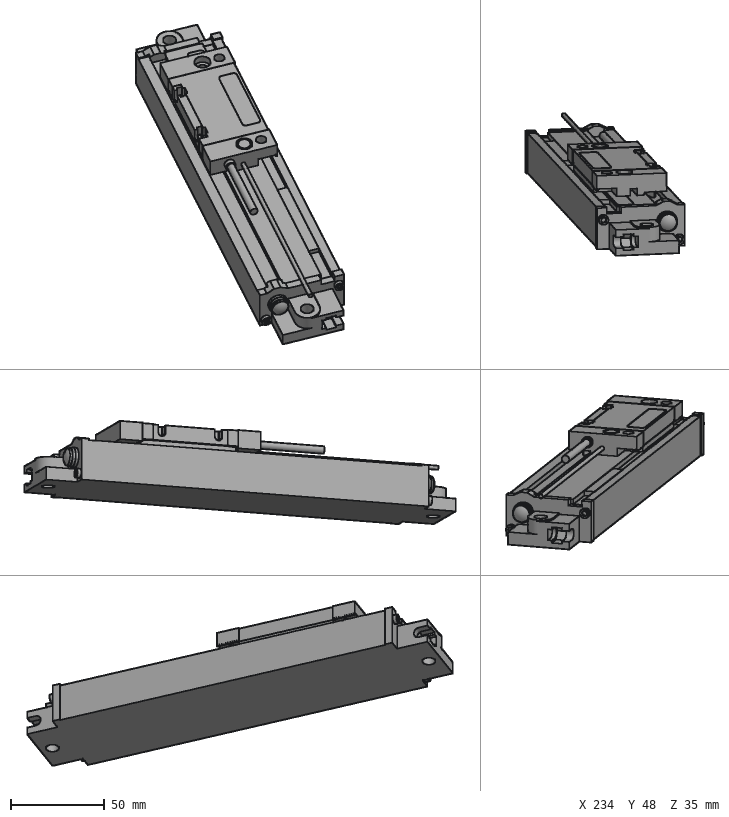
import cadquery as cq

HEXAGON_CORNER_RATIO = 2 / 3 ** 0.5

TOTAL_LENGTH = 234.0
TOTAL_WIDTH = 48.0
FRONT_Y = -TOTAL_WIDTH / 2
REAR_Y = TOTAL_WIDTH / 2

BODY_TOP = 22.0
BODY_REAR_SETBACK = 0.7
CHANNEL_FLOOR = 19.2
REAR_CHANNEL_Y = (12.5, 18.3)
SLOT_Y = (-18.0, -9.4)

CAP_OUTER_X = 99.2
CAP_THICKNESS = 4.2
CAP_INNER_X = CAP_OUTER_X - CAP_THICKNESS
CAP_TOP = 22.7
CAP_NOTCH_Y = (11.0, 18.7)
CAP_NOTCH_FLOOR = 19.5

BOSS_Y = -14.0
BOSS_TOP = 24.8
BOSS_TOP_WIDTH = 3.7
BOSS_FOOT_WIDTH = 12.2
TAB_LENGTH = 6.5

INSERT_X = (24.8, 74.9)
INSERT_TOP = 21.8
COVER_LABEL_X = -90.3
COVER_LABEL_Y = (1.9, 11.0)

FOOT_HALF_WIDTH = 17.3
FOOT_BASE_TOP = 7.0
FOOT_STEP_TOP = 14.3
LUG_TOP = 15.0
LUG_RADIUS = 7.0
LUG_Y = -1.0
LUG_X = TOTAL_LENGTH / 2 - LUG_RADIUS
LUG_HOLE_DIAMETER = 7.0
FOOT_SLOT_Z = 7.3
FOOT_SLOT_HEIGHT = 6.0
FOOT_SLOT_DEPTH = 8.0
FOOT_SLOT_INNER_Y = 5.1
NUT_Y = (7.5, 13.0)
NUT_HEIGHT = 8.7

PLUG_Y = BOSS_Y
PLUG_Z = 14.0
PLUG_STEPS = [(5.4, 1.6), (5.1, 3.3), (4.7, 4.7)]
PLUG_DOME_HEIGHT = 1.9
CAP_SCREW_PLACES = [(20.8, 16.4), (-20.8, 4.0)]
CAP_SCREW_RADIUS = 2.5
CAP_SCREW_HEIGHT = 2.0
SOCKET_RADIUS = 1.5
SOCKET_DEPTH = 1.2

CARRIAGE_X = -35.0
CARRIAGE_LENGTH = 80.5
CARRIAGE_LEFT = CARRIAGE_X - CARRIAGE_LENGTH / 2
CARRIAGE_RIGHT = CARRIAGE_X + CARRIAGE_LENGTH / 2
CARRIAGE_FRONT = -18.7
CARRIAGE_REAR = 19.5
CARRIAGE_TOP = 35.0
CARRIAGE_BOTTOM = 23.5
FRONT_BOTTOM = 25.0
FRONT_STEP_Y = -6.8
REAR_BOTTOM = 26.7
REAR_STEP_Y = 18.7
STEP_SLOPE = 0.7
END_BLOCK_LENGTH = 12.9
MIDDLE_LENGTH = CARRIAGE_LENGTH - 2 * END_BLOCK_LENGTH
MIDDLE_REAR_SETBACK = 0.5
MIDDLE_DROP = 0.2
MIDDLE_TOP = CARRIAGE_TOP - MIDDLE_DROP
MIDDLE_FRONT_BOTTOM = 26.2

UNDERCUT_Y = (8.7, REAR_STEP_Y)
UNDERCUT_TOP = 27.8
KEYWAY_Y = (-2.5, 1.2)
KEYWAY_TOP = 27.1

END_HOLE_OFFSET = 33.5
PIN_HOLE_Y = 12.6
PIN_HOLE_DIAMETER = 5.5
BOLT_HOLE_Y = 3.0
BOLT_HOLE_DIAMETER = 4.7
COUNTERBORE_DIAMETER = 8.7
COUNTERBORE_DEPTH = 4.2
PLUG_RING_INNER_DIAMETER = 6.8
PLUG_RING_DEPTH = 1.0

LABEL_LENGTH = 40.5
LABEL_Y = (7.3, 17.3)
LABEL_RADIUS = 1.9
LABEL_DEPTH = 0.2

LEDGE_LENGTH = 42.5
LEDGE_REAR_Y = -13.5
LEDGE_DROP = 0.2
LEDGE_SETBACK = 0.35
SCREW_SLOT_OFFSET = 16.1
SCREW_SLOT_Z = 30.7
SCREW_SLOT_RADIUS = 2.0
SCREW_SLOT_REAR_Y = -12.5
HEAD_POCKET_Y = (-16.5, -13.8)
HEAD_POCKET_WIDTH = 7.0

KEEL_LENGTH = 58.0
KEEL_STRAIGHT_LENGTH = 40.2
KEEL_Y = -14.0
KEEL_WIDTH = 4.7
KEEL_TOP = 26.7

SLEEVE_Y = -8.0
SLEEVE_Z = 30.2
SLEEVE_RADIUS = 2.0
SLEEVE_END_X = 44.7
GLAND_RADIUS = 2.8
GLAND_LENGTH = 2.5
CABLE_Y = 0.0
CABLE_Z = 27.1
CABLE_RADIUS = 1.2
CABLE_END_X = 113.0


def block(x_range, y_range, z_range):
    """Box between two X, two Y and two Z positions."""
    size = [high - low for low, high in (x_range, y_range, z_range)]
    corner = (x_range[0], y_range[0], z_range[0])
    return cq.Workplane("XY").box(*size, centered=False).translate(corner)


def rod_x(x_start, length, y, z, radius):
    """Cylinder along +X."""
    return cq.Workplane("YZ", origin=(x_start, y, z)).circle(radius).extrude(length)


def rod_z(x, y, z_range, diameter):
    """Cylinder along +Z."""
    plane = cq.Workplane("XY", origin=(x, y, z_range[0]))
    return plane.circle(diameter / 2).extrude(z_range[1] - z_range[0])


def label_recess(x_start, y_range, surface_z):
    """Shallow rounded rectangle sunk into a top surface."""
    recess = block((x_start, x_start + LABEL_LENGTH), y_range, (surface_z - LABEL_DEPTH, surface_z))
    return recess.edges("|Z").fillet(LABEL_RADIUS)


def mirrored_pair(shape):
    """The shape together with its mirror image across X = 0."""
    return shape.union(shape.mirror("YZ"))


def make_profile():
    """Long extrusion with the rear channel, its raised stretches, the front slot and a label recess."""
    span = (-CAP_INNER_X, CAP_INNER_X)
    profile = block(span, (FRONT_Y, REAR_Y - BODY_REAR_SETBACK), (0, BODY_TOP))
    for y_range in (REAR_CHANNEL_Y, SLOT_Y):
        profile = profile.cut(block(span, y_range, (CHANNEL_FLOOR, BODY_TOP)))
    profile = profile.union(mirrored_pair(block(INSERT_X, REAR_CHANNEL_Y, (CHANNEL_FLOOR, INSERT_TOP))))
    return profile.cut(label_recess(COVER_LABEL_X, COVER_LABEL_Y, BODY_TOP))


def make_end_cap():
    """Right end plate: notched at the rear, with a raised boss and a tab closing the slot."""
    outline = [
        (FRONT_Y, 0),
        (REAR_Y, 0),
        (REAR_Y, CAP_TOP),
        (CAP_NOTCH_Y[1], CAP_TOP),
        (CAP_NOTCH_Y[1], CAP_NOTCH_FLOOR),
        (CAP_NOTCH_Y[0], CAP_NOTCH_FLOOR),
        (CAP_NOTCH_Y[0], CAP_TOP),
        (BOSS_Y + BOSS_FOOT_WIDTH / 2, CAP_TOP),
        (BOSS_Y + BOSS_TOP_WIDTH / 2, BOSS_TOP),
        (BOSS_Y - BOSS_TOP_WIDTH / 2, BOSS_TOP),
        (BOSS_Y - BOSS_FOOT_WIDTH / 2, CAP_TOP),
        (FRONT_Y, CAP_TOP),
    ]
    tab_start = CAP_OUTER_X - TAB_LENGTH
    section = cq.Workplane("YZ", origin=(tab_start, 0, 0)).polyline(outline).close().extrude(TAB_LENGTH)
    tab = section.intersect(block((tab_start, CAP_INNER_X), SLOT_Y, (CHANNEL_FLOOR, BOSS_TOP)))
    plate = section.intersect(block((CAP_INNER_X, CAP_OUTER_X), (FRONT_Y, REAR_Y), (0, BOSS_TOP)))
    return plate.union(tab)


def make_plug():
    """Stepped round plug with a domed end."""
    outline = cq.Workplane("XY")
    start = 0
    for radius, end in PLUG_STEPS:
        outline = outline.lineTo(start, radius).lineTo(end, radius)
        start = end
    radius = PLUG_STEPS[-1][0]
    dome_radius = (radius ** 2 + PLUG_DOME_HEIGHT ** 2) / (2 * PLUG_DOME_HEIGHT)
    outline = outline.radiusArc((start + PLUG_DOME_HEIGHT, 0), dome_radius).close()
    plug = outline.revolve(360, (0, 0, 0), (1, 0, 0))
    return plug.translate((CAP_OUTER_X, PLUG_Y, PLUG_Z))


def make_cap_screws():
    """Domed plug and two small socket screws on the right end cap."""
    screws = make_plug()
    socket_start = CAP_OUTER_X + CAP_SCREW_HEIGHT - SOCKET_DEPTH
    for y, z in CAP_SCREW_PLACES:
        head = rod_x(CAP_OUTER_X, CAP_SCREW_HEIGHT, y, z, CAP_SCREW_RADIUS)
        screws = screws.union(head.cut(rod_x(socket_start, SOCKET_DEPTH, y, z, SOCKET_RADIUS)))
    return screws


def make_foot_slot():
    """Cross slot with a round bottom and a hexagonal nut pocket, open at the right end face."""
    end_x = TOTAL_LENGTH / 2
    half_height = FOOT_SLOT_HEIGHT / 2
    round_x = end_x - FOOT_SLOT_DEPTH + half_height
    slot_y = (FOOT_SLOT_INNER_Y, FOOT_HALF_WIDTH)
    slot_z = (FOOT_SLOT_Z - half_height, FOOT_SLOT_Z + half_height)
    side = cq.Workplane("XZ", origin=(round_x, slot_y[1], FOOT_SLOT_Z))
    slot = side.circle(half_height).extrude(slot_y[1] - slot_y[0])
    slot = slot.union(block((round_x, end_x), slot_y, slot_z))

    nut_z = (FOOT_SLOT_Z - NUT_HEIGHT / 2, FOOT_SLOT_Z + NUT_HEIGHT / 2)
    nut_side = cq.Workplane("XZ", origin=(round_x, NUT_Y[1], FOOT_SLOT_Z))
    nut = nut_side.polygon(6, NUT_HEIGHT * HEXAGON_CORNER_RATIO).extrude(NUT_Y[1] - NUT_Y[0])
    return slot.union(nut).union(block((round_x, end_x), NUT_Y, nut_z))


def make_foot():
    """Right mounting foot: base plate, raised step and rounded lug with its hole."""
    span = (CAP_OUTER_X, TOTAL_LENGTH / 2)
    foot = block(span, (-FOOT_HALF_WIDTH, FOOT_HALF_WIDTH), (0, FOOT_BASE_TOP))
    foot = foot.union(block(span, (LUG_Y, FOOT_HALF_WIDTH), (0, FOOT_STEP_TOP)))
    lug = block((CAP_OUTER_X, LUG_X), (LUG_Y - LUG_RADIUS, LUG_Y + LUG_RADIUS), (0, LUG_TOP))
    lug = lug.union(rod_z(LUG_X, LUG_Y, (0, LUG_TOP), 2 * LUG_RADIUS))
    foot = foot.union(lug).cut(rod_z(LUG_X, LUG_Y, (0, LUG_TOP), LUG_HOLE_DIAMETER))
    return foot.cut(make_foot_slot())


def make_housing():
    right_end = make_end_cap().union(make_foot()).union(make_cap_screws())
    return make_profile().union(mirrored_pair(right_end))


def make_carriage_block():
    """Two end blocks and a slightly narrower, lower middle, all with the stepped underside."""
    outline = [
        (CARRIAGE_FRONT, CARRIAGE_TOP),
        (CARRIAGE_FRONT, FRONT_BOTTOM),
        (FRONT_STEP_Y, FRONT_BOTTOM),
        (FRONT_STEP_Y + STEP_SLOPE, CARRIAGE_BOTTOM),
        (REAR_STEP_Y, CARRIAGE_BOTTOM),
        (REAR_STEP_Y, REAR_BOTTOM),
        (CARRIAGE_REAR, REAR_BOTTOM),
        (CARRIAGE_REAR, CARRIAGE_TOP),
    ]
    start = cq.Workplane("YZ", origin=(CARRIAGE_LEFT, 0, 0))
    carriage = start.polyline(outline).close().extrude(CARRIAGE_LENGTH)
    middle_x = (CARRIAGE_X - MIDDLE_LENGTH / 2, CARRIAGE_X + MIDDLE_LENGTH / 2)
    full_y = (CARRIAGE_FRONT, CARRIAGE_REAR)
    full_z = (CARRIAGE_BOTTOM, CARRIAGE_TOP)
    rear_y = (CARRIAGE_REAR - MIDDLE_REAR_SETBACK, CARRIAGE_REAR)
    front_y = (CARRIAGE_FRONT, CARRIAGE_FRONT + MIDDLE_DROP)
    carriage = carriage.cut(block(middle_x, rear_y, full_z))
    carriage = carriage.cut(block(middle_x, front_y, full_z))
    carriage = carriage.cut(block(middle_x, full_y, (MIDDLE_TOP, CARRIAGE_TOP)))
    underside_y = (CARRIAGE_FRONT, FRONT_STEP_Y)
    return carriage.cut(block(middle_x, underside_y, (CARRIAGE_BOTTOM, MIDDLE_FRONT_BOTTOM)))


def cut_underside(carriage):
    """Rear undercut below each end block and a keyway below the left one."""
    left_x = (CARRIAGE_LEFT, CARRIAGE_LEFT + END_BLOCK_LENGTH)
    right_x = (CARRIAGE_RIGHT - END_BLOCK_LENGTH, CARRIAGE_RIGHT)
    for x_range in (left_x, right_x):
        carriage = carriage.cut(block(x_range, UNDERCUT_Y, (CARRIAGE_BOTTOM, UNDERCUT_TOP)))
    return carriage.cut(block(left_x, KEYWAY_Y, (CARRIAGE_BOTTOM, KEYWAY_TOP)))


def cut_top_holes(carriage):
    """Pin hole in each end block, a counterbored hole at the left and a plugged one at the right."""
    left_x = CARRIAGE_X - END_HOLE_OFFSET
    right_x = CARRIAGE_X + END_HOLE_OFFSET
    through = (CARRIAGE_BOTTOM, CARRIAGE_TOP)
    for x in (left_x, right_x):
        carriage = carriage.cut(rod_z(x, PIN_HOLE_Y, through, PIN_HOLE_DIAMETER))
    counterbore_z = (CARRIAGE_TOP - COUNTERBORE_DEPTH, CARRIAGE_TOP)
    carriage = carriage.cut(rod_z(left_x, BOLT_HOLE_Y, through, BOLT_HOLE_DIAMETER))
    carriage = carriage.cut(rod_z(left_x, BOLT_HOLE_Y, counterbore_z, COUNTERBORE_DIAMETER))
    ring_z = (CARRIAGE_TOP - PLUG_RING_DEPTH, CARRIAGE_TOP)
    ring = rod_z(right_x, BOLT_HOLE_Y, ring_z, COUNTERBORE_DIAMETER)
    ring = ring.cut(rod_z(right_x, BOLT_HOLE_Y, ring_z, PLUG_RING_INNER_DIAMETER))
    return carriage.cut(ring)


def make_screw_slot(x):
    """U-shaped slot from the front, crossed by a pocket with a V-shaped hexagonal bottom."""
    slot_y = (CARRIAGE_FRONT, SCREW_SLOT_REAR_Y)
    side = cq.Workplane("XZ", origin=(x, slot_y[1], SCREW_SLOT_Z))
    slot = side.circle(SCREW_SLOT_RADIUS).extrude(slot_y[1] - slot_y[0])
    slot_x = (x - SCREW_SLOT_RADIUS, x + SCREW_SLOT_RADIUS)
    open_z = (SCREW_SLOT_Z, CARRIAGE_TOP)
    slot = slot.union(block(slot_x, slot_y, open_z))

    pocket_side = cq.Workplane("XZ", origin=(x, HEAD_POCKET_Y[1], SCREW_SLOT_Z))
    corner_diameter = HEAD_POCKET_WIDTH * HEXAGON_CORNER_RATIO
    hexagon = pocket_side.transformed(rotate=(0, 0, 90)).polygon(6, corner_diameter)
    pocket = hexagon.extrude(HEAD_POCKET_Y[1] - HEAD_POCKET_Y[0])
    pocket_x = (x - HEAD_POCKET_WIDTH / 2, x + HEAD_POCKET_WIDTH / 2)
    return slot.union(pocket).union(block(pocket_x, HEAD_POCKET_Y, open_z))


def cut_front_ledge(carriage):
    """Lowered, set-back panel along the front edge with its two screw slots."""
    ledge_x = (CARRIAGE_X - LEDGE_LENGTH / 2, CARRIAGE_X + LEDGE_LENGTH / 2)
    ledge_y = (CARRIAGE_FRONT, LEDGE_REAR_Y)
    carriage = carriage.cut(block(ledge_x, ledge_y, (MIDDLE_TOP - LEDGE_DROP, CARRIAGE_TOP)))
    face_y = (CARRIAGE_FRONT, CARRIAGE_FRONT + LEDGE_SETBACK)
    carriage = carriage.cut(block(ledge_x, face_y, (CARRIAGE_BOTTOM, CARRIAGE_TOP)))
    for x in (CARRIAGE_X - SCREW_SLOT_OFFSET, CARRIAGE_X + SCREW_SLOT_OFFSET):
        carriage = carriage.cut(make_screw_slot(x))
    return carriage


def make_keel():
    """Blade with tapering curved ends that reaches from the carriage down to the floor of the slot."""
    tip_x = KEEL_LENGTH / 2
    shoulder_x = KEEL_STRAIGHT_LENGTH / 2
    side_y = KEEL_WIDTH / 2
    taper = tip_x - shoulder_x
    end_radius = (taper ** 2 + side_y ** 2) / (2 * side_y)
    plane = cq.Workplane("XY", origin=(CARRIAGE_X, KEEL_Y, CHANNEL_FLOOR))
    outline = (
        plane.moveTo(-shoulder_x, side_y)
        .lineTo(shoulder_x, side_y)
        .radiusArc((tip_x, 0), end_radius)
        .radiusArc((shoulder_x, -side_y), end_radius)
        .lineTo(-shoulder_x, -side_y)
        .radiusArc((-tip_x, 0), end_radius)
        .radiusArc((-shoulder_x, side_y), end_radius)
        .close()
    )
    return outline.extrude(KEEL_TOP - CHANNEL_FLOOR)


def make_cables():
    """Thin cable and thick sleeve with its gland, leaving the right end of the carriage."""
    cable = rod_x(CARRIAGE_RIGHT, CABLE_END_X - CARRIAGE_RIGHT, CABLE_Y, CABLE_Z, CABLE_RADIUS)
    sleeve = rod_x(CARRIAGE_RIGHT, SLEEVE_END_X - CARRIAGE_RIGHT, SLEEVE_Y, SLEEVE_Z, SLEEVE_RADIUS)
    gland = rod_x(CARRIAGE_RIGHT, GLAND_LENGTH, SLEEVE_Y, SLEEVE_Z, GLAND_RADIUS)
    return cable, sleeve.union(gland)


def make_carriage():
    carriage = cut_underside(make_carriage_block())
    carriage = cut_top_holes(carriage)
    carriage = carriage.cut(label_recess(CARRIAGE_X - LABEL_LENGTH / 2, LABEL_Y, MIDDLE_TOP))
    carriage = cut_front_ledge(carriage)
    carriage = carriage.union(make_keel())
    for cable in make_cables():
        carriage = carriage.union(cable)
    return carriage


housing = make_housing()
carriage = make_carriage()
result = cq.Compound.makeCompound([*housing.vals(), *carriage.vals()])